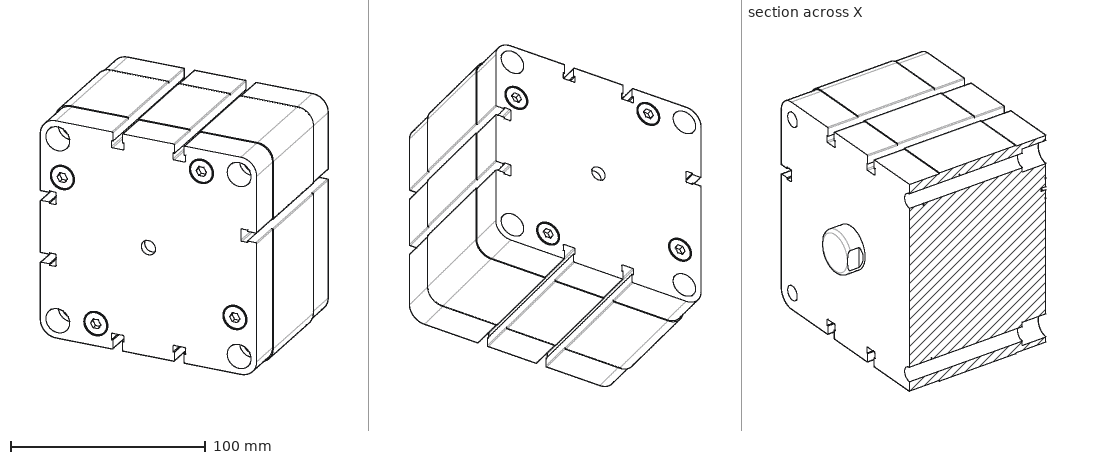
import cadquery as cq
import math


BODY_SIDE = 124.0
CAP_SIDE = 123.0
CORNER_RADIUS = 9.0
CAP_LENGTH = 19.0
TUBE_LENGTH = 48.5
BODY_LENGTH = 2 * CAP_LENGTH + TUBE_LENGTH

SLOT_OFFSET = 17.5
SLOT_NECK_WIDTH = 5.4
SLOT_HEAD_WIDTH = 7.0
SLOT_DEPTH = 9.5
SLOT_HEAD_DEPTH = 3.8
SLOT_MOUTH_RADIUS = 0.5
SLOT_HEAD_RADIUS = 0.6
QUARTER_TURN = 90
RIGHT_FACE_TURN = QUARTER_TURN

MOUNT_SPACING = 103.0
MOUNT_HOLE_DIAMETER = 8.38
MOUNT_BORE_DIAMETER = 13.5
MOUNT_BORE_DEPTH = 15.0

SCREW_LONG_OFFSET = 49.0
SCREW_SHORT_OFFSET = 30.0
SCREW_POCKET_DIAMETER = 13.5
SCREW_HEAD_DIAMETER = 12.5
SCREW_GAP_DEPTH = 0.5
HEX_ACROSS_FLATS = 5.0
HEX_DEPTH = 3.0

CENTRE_HOLE_DIAMETER = 8.0
CENTRE_HOLE_DEPTH = 4.0

ROD_DIAMETER = 25.0
ROD_LENGTH = 10.0
ROD_TIP_RADIUS = 1.75
WRENCH_WIDTH = 22.0
WRENCH_FLAT_LENGTH = 7.3


def face_plane(y):
    """Plane facing +Y at the given y, with local x along -X and local y along Z."""
    return cq.Plane(origin=(0, y, 0), xDir=(-1, 0, 0), normal=(0, 1, 0))


def rounded_block(side, start, length):
    block = cq.Workplane(face_plane(start)).rect(side, side).extrude(length)
    return block.edges("|Y").fillet(CORNER_RADIUS)


def slot_cutter(side, start, length, angle, offset):
    """T-slot opening on the top face, turned about Y by the given angle."""
    top = side / 2
    floor = BODY_SIDE / 2 - SLOT_DEPTH
    neck = SLOT_NECK_WIDTH / 2
    shoulder = floor + SLOT_HEAD_DEPTH
    flare = neck + SLOT_MOUTH_RADIUS
    head = (
        cq.Workplane(face_plane(start))
        .center(offset, (floor + shoulder) / 2)
        .rect(SLOT_HEAD_WIDTH, SLOT_HEAD_DEPTH)
        .extrude(length)
        .edges("|Y and <Z")
        .fillet(SLOT_HEAD_RADIUS)
    )
    mouth = (
        cq.Workplane(face_plane(start))
        .center(offset, 0)
        .moveTo(-neck, floor + SLOT_HEAD_RADIUS)
        .lineTo(-neck, top - SLOT_MOUTH_RADIUS)
        .radiusArc((-flare, top), -SLOT_MOUTH_RADIUS)
        .lineTo(flare, top)
        .radiusArc((neck, top - SLOT_MOUTH_RADIUS), -SLOT_MOUTH_RADIUS)
        .lineTo(neck, floor + SLOT_HEAD_RADIUS)
        .close()
        .extrude(length)
    )
    return head.union(mouth).rotate((0, 0, 0), (0, 1, 0), angle)


def housing_section(side, start, length):
    """One length of housing with its seven slots; the +X face has only the upper one."""
    section = rounded_block(side, start, length)
    for turn in range(4):
        angle = turn * QUARTER_TURN
        for offset in (-SLOT_OFFSET, SLOT_OFFSET):
            is_missing_slot = angle == RIGHT_FACE_TURN and offset < 0
            if is_missing_slot:
                continue
            section = section.cut(slot_cutter(side, start, length, angle, offset))
    return section


def make_housing():
    front_cap = housing_section(CAP_SIDE, 0, CAP_LENGTH)
    tube = housing_section(BODY_SIDE, CAP_LENGTH, TUBE_LENGTH)
    rear_cap = housing_section(CAP_SIDE, CAP_LENGTH + TUBE_LENGTH, CAP_LENGTH)
    return front_cap.union(tube).union(rear_cap)


def cut_mounting_holes(body):
    corners = cq.Workplane(face_plane(0)).rect(MOUNT_SPACING, MOUNT_SPACING, forConstruction=True).vertices()
    holes = corners.circle(MOUNT_HOLE_DIAMETER / 2).extrude(BODY_LENGTH)
    bores = corners.circle(MOUNT_BORE_DIAMETER / 2).extrude(MOUNT_BORE_DEPTH)
    return body.cut(holes).cut(bores)


def cut_screw_heads(body):
    """Ring gap and hexagon socket of each of the four cap screws."""
    long, short = SCREW_LONG_OFFSET, SCREW_SHORT_OFFSET
    places = [(-short, long), (long, short), (short, -long), (-long, -short)]
    screws = cq.Workplane(face_plane(0)).pushPoints(places)
    gaps = screws.circle(SCREW_POCKET_DIAMETER / 2).circle(SCREW_HEAD_DIAMETER / 2).extrude(SCREW_GAP_DEPTH)
    hex_across_corners = HEX_ACROSS_FLATS / math.cos(math.pi / 6)
    sockets = screws.polygon(6, hex_across_corners).extrude(HEX_DEPTH)
    return body.cut(gaps).cut(sockets)


def cut_centre_hole(body):
    hole = cq.Workplane(face_plane(0)).circle(CENTRE_HOLE_DIAMETER / 2).extrude(CENTRE_HOLE_DEPTH)
    return body.cut(hole)


def wrench_flat_cutter(side):
    """Flat on one side (+1 or -1 along X), running out at 45 degrees towards the housing."""
    tip = BODY_LENGTH + ROD_LENGTH
    flat_end = tip - WRENCH_FLAT_LENGTH
    flat = WRENCH_WIDTH / 2
    rod_radius = ROD_DIAMETER / 2
    runout = rod_radius - flat
    outline = [
        (side * flat, tip),
        (side * flat, flat_end),
        (side * rod_radius, flat_end - runout),
        (side * rod_radius, tip),
    ]
    return cq.Workplane("XY").polyline(outline).close().extrude(rod_radius, both=True)


def make_rod():
    rod = cq.Workplane(face_plane(BODY_LENGTH)).circle(ROD_DIAMETER / 2).extrude(ROD_LENGTH)
    rod = rod.faces(">Y").edges().fillet(ROD_TIP_RADIUS)
    for side in (-1, 1):
        rod = rod.cut(wrench_flat_cutter(side))
    return rod


body = make_housing()
body = cut_mounting_holes(body)
body = cut_screw_heads(body)
body = cut_centre_hole(body)
result = body.union(make_rod())